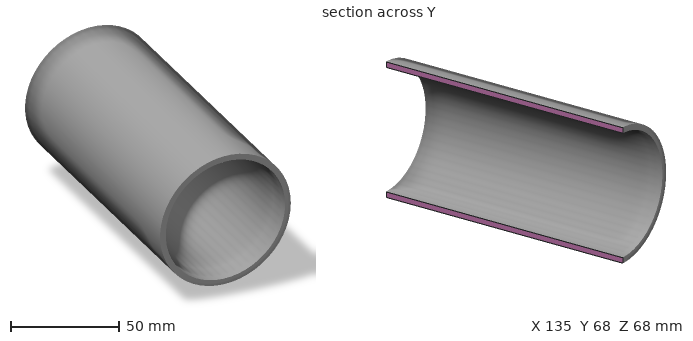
import cadquery as cq

length = 135.0
outer_diameter = 68.0
wall_thickness = 3.0
inner_diameter = outer_diameter - 2 * wall_thickness

result = (
    cq.Workplane("YZ", origin=(-length / 2, 0, 0))
    .circle(outer_diameter / 2)
    .circle(inner_diameter / 2)
    .extrude(length)
)